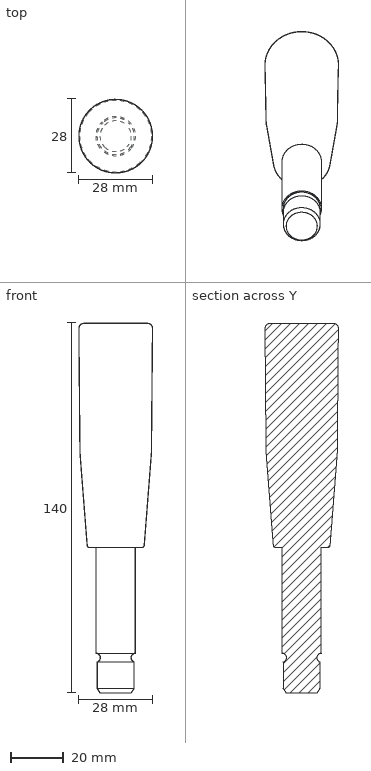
import cadquery as cq

total_height = 140.0
grip_bottom = 55.0
grip_joint = 91.0
shank_shoulder = 15.0
groove_bottom = 11.8

grip_radius = 14.0
joint_radius = 13.6
grip_end_radius = 10.8
top_round = 2.0
bottom_round = 1.0

shank_radius = 15.0 / 2
end_radius = 14.0 / 2
groove_radius = 11.8 / 2
tip_radius = 11.8 / 2
tip_chamfer_height = 1.7


def revolve_profile(profile):
    """Turn a closed radius-height profile about the Z axis."""
    return profile.close().revolve(360, (0, 0, 0), (0, 1, 0))


def make_grip():
    """Tapered hand grip with rounded end edges."""
    profile = (
        cq.Workplane("XZ")
        .moveTo(0, grip_bottom)
        .lineTo(grip_end_radius, grip_bottom)
        .lineTo(joint_radius, grip_joint)
        .lineTo(grip_radius, total_height)
        .lineTo(0, total_height)
    )
    grip = revolve_profile(profile)
    grip = grip.faces(">Z").edges().fillet(top_round)
    return grip.faces("<Z").edges().fillet(bottom_round)


def make_shank():
    """Plain shank with an arc-shaped groove and a chamfered end."""
    groove_middle = (groove_bottom + shank_shoulder) / 2
    profile = (
        cq.Workplane("XZ")
        .lineTo(tip_radius, 0)
        .lineTo(end_radius, tip_chamfer_height)
        .lineTo(end_radius, groove_bottom)
        .threePointArc((groove_radius, groove_middle), (end_radius, shank_shoulder))
        .lineTo(shank_radius, shank_shoulder)
        .lineTo(shank_radius, grip_bottom)
        .lineTo(0, grip_bottom)
    )
    return revolve_profile(profile)


result = make_grip().union(make_shank())